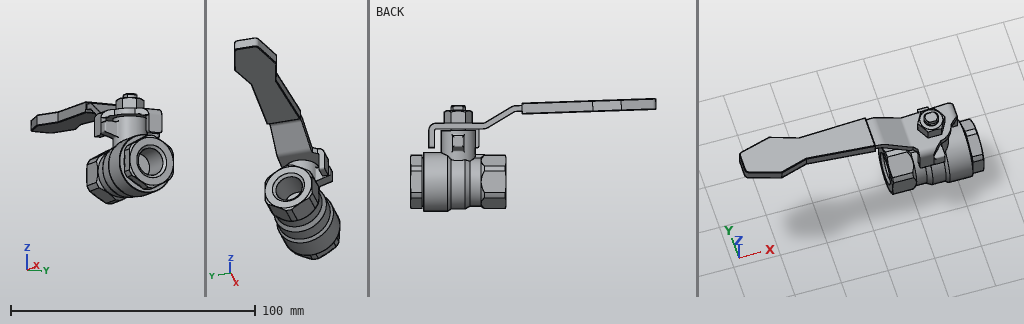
import cadquery as cq
import math


overall_length = 100.8

half_length = 19.7
body_radius = 12.1
band_radius = 11.2
neck_radius = 10.0
hex_across_flats = 20.2
hex_corner_radius = 11.0
end_chamfer = 0.4
end_face_radius = 10.0
left_hex_end = -10.7
neck_start = -9.3
neck_end = -4.8
band_start = -2.7
band_end = 2.9
shoulder_start = 4.3
shoulder_end = 14.3
rim_chamfer = 0.2
groove_width = 0.5
groove_radius = 10.0

bore_radius = 5.6
bore_depth = 13.1
bore_mouth_radius = 6.9
bore_mouth_depth = 1.0

housing_radius = 7.1
housing_top = 21.0
ridge_half_width = 2.0
ridge_base = 9.5
ridge_top = 11.3
stop_reach = 12.5
stop_width = 4.6
stop_top = 19.0
stop_outer_bottom = 14.3
stop_inner_bottom = 12.7
stop_edge_fillet = 0.6
stop_root_fillet = 0.5

strip = 2.4
plate_top = 24.1
plate_bottom = plate_top - strip
plate_radius = 8.1
plate_round_margin = 12.0
tab_outer = 12.1
tab_inner_bend = 0.6
tab_outer_bend = tab_inner_bend + strip
tab_bend_start = tab_outer - tab_outer_bend
tab_bottom = 13.9
tab_side = 8.6
tab_corner_fillet = 1.0
tab_stop_edge = 2.5
slope_angle = 31.0
handle_angle = 2.0
low_bend_x = -11.0
high_bend_x = -22.9
bend_radius = 2.0
strip_end_x = -27.2
strip_end_half_width = 6.5
plate_corner_x = -10.0
plate_corner_y = 7.4

grip_thickness = 4.5
grip_edge_chamfer = 0.3
grip_corner_radius = 1.8
grip_root_x = -26.1
grip_tilt = math.radians(handle_angle)
grip_reach = overall_length - half_length + grip_root_x
grip_lean = (grip_thickness / 2 - grip_edge_chamfer) * math.sin(grip_tilt)
grip_tip_x = grip_root_x - (grip_reach - grip_lean) / math.cos(grip_tilt)
grip_middle_z = 30.1
grip_tip_half_width = 4.8
grip_wide_x = -66.9
grip_wide_half_width = 9.0
grip_waist_x = -55.2
grip_waist_half_width = 5.3
grip_root_half_width = 7.2

stem_radius = 3.0
stem_top = 31.3
stem_chamfer = 0.5
stem_flat_half_width = 2.2
stem_flat_bottom = 29.5
nut_across_flats = 10.1
nut_top = 29.2
nut_face_radius = 4.7
nut_chamfer_angle = 30.0


def hex_across_corners(across_flats):
    return across_flats / math.cos(math.radians(30))


def hex_end(x_start, x_end):
    """Hexagonal prism along X with two corners pointing up and down."""
    corners = [
        (
            hex_across_corners(hex_across_flats) / 2 * math.sin(math.radians(60 * i)),
            hex_across_corners(hex_across_flats) / 2 * math.cos(math.radians(60 * i)),
        )
        for i in range(6)
    ]
    return cq.Workplane("YZ", origin=(x_start, 0, 0)).polyline(corners).close().extrude(x_end - x_start)


def turned(profile):
    """Solid of revolution about the flow axis from (x, radius) points."""
    return cq.Workplane("XY").polyline(profile).close().revolve(360, (0, 0, 0), (1, 0, 0))


def make_body():
    """Turned middle with a hexagonal wrench end on each side."""
    left_envelope = turned([
        (-half_length, 0),
        (-half_length, end_face_radius),
        (-half_length + end_chamfer, hex_corner_radius),
        (left_hex_end, hex_corner_radius),
        (neck_start, neck_radius),
        (neck_start, 0),
    ])
    right_envelope = turned([
        (shoulder_end, 0),
        (shoulder_end, groove_radius),
        (shoulder_end + groove_width, groove_radius),
        (shoulder_end + groove_width, hex_corner_radius),
        (half_length - end_chamfer, hex_corner_radius),
        (half_length, end_face_radius),
        (half_length, 0),
    ])
    middle = turned([
        (neck_start, 0),
        (neck_start, neck_radius),
        (neck_end, neck_radius),
        (band_start, band_radius),
        (band_end, band_radius),
        (shoulder_start, body_radius),
        (shoulder_end - rim_chamfer, body_radius),
        (shoulder_end, body_radius - rim_chamfer),
        (shoulder_end, 0),
    ])
    left_hex = hex_end(-half_length, neck_start).intersect(left_envelope)
    right_hex = hex_end(shoulder_end, half_length).intersect(right_envelope)
    return middle.union(left_hex).union(right_hex)


def make_port():
    """Blind bore with a conical mouth, entering from the -X end."""
    return turned([
        (-half_length, 0),
        (-half_length, bore_mouth_radius),
        (-half_length + bore_mouth_depth, bore_radius),
        (-half_length + bore_depth, bore_radius),
        (-half_length + bore_depth, 0),
    ])


def make_stop():
    """Lever stop on the -Y side of the housing, its underside sloping up outwards."""
    underside_slope = (stop_outer_bottom - stop_inner_bottom) / (stop_reach - housing_radius)
    stop_axis_bottom = stop_inner_bottom - underside_slope * housing_radius
    return (
        cq.Workplane("YZ", origin=(-stop_width / 2, 0, 0))
        .polyline([
            (0, stop_top),
            (-stop_reach, stop_top),
            (-stop_reach, stop_outer_bottom),
            (0, stop_axis_bottom),
        ])
        .close()
        .extrude(stop_width)
        .faces("<Y").edges()
        .fillet(stop_edge_fillet)
    )


def make_housing():
    """Upright stem housing carrying a stop on each side and a ridge towards the left hexagon."""
    stop = make_stop()
    stop_roots = cq.selectors.BoxSelector(
        (-stop_width, -housing_radius, stop_inner_bottom - stop_root_fillet),
        (stop_width, housing_radius, stop_top + stop_root_fillet),
    )
    ridge = (
        cq.Workplane("YZ", origin=(left_hex_end, 0, 0))
        .polyline([(-ridge_half_width, ridge_base), (0, ridge_top), (ridge_half_width, ridge_base)])
        .close()
        .extrude(-left_hex_end)
    )
    return (
        cq.Workplane("XY")
        .circle(housing_radius)
        .extrude(housing_top)
        .union(stop)
        .union(stop.mirror("XZ"))
        .edges(stop_roots)
        .fillet(stop_root_fillet)
        .union(ridge)
    )


def make_strip():
    """Side profile of the lever: flat plate, rising slope, then in line with the grip."""
    slope = math.radians(slope_angle)
    tilt = math.radians(handle_angle)
    low_half = slope / 2
    high_half = (slope - tilt) / 2
    middle_z = plate_bottom + strip / 2
    high_z = middle_z + (low_bend_x - high_bend_x) * math.tan(slope)
    end_z = high_z + (high_bend_x - strip_end_x) * math.tan(tilt)

    def line_points(side):
        """Bend corners of the upper (side = 1) or lower (side = -1) sheet surface."""
        reach = side * strip / 2
        high_direction = slope - high_half
        return [
            (tab_bend_start, middle_z + reach),
            (low_bend_x + reach * math.tan(low_half), middle_z + reach),
            (
                high_bend_x + reach * math.sin(high_direction) / math.cos(high_half),
                high_z + reach * math.cos(high_direction) / math.cos(high_half),
            ),
            (strip_end_x, end_z + reach / math.cos(tilt)),
        ]

    upper = line_points(1)
    lower = line_points(-1)
    profile = (
        cq.Workplane("XZ", origin=(0, tab_bend_start, 0))
        .polyline(upper + lower[::-1])
        .close()
        .extrude(2 * tab_bend_start)
    )
    inside_corners = (upper[1], lower[2])
    outside_corners = (lower[1], upper[2])
    for corners, radius in ((inside_corners, bend_radius), (outside_corners, bend_radius + strip)):
        for x, z in corners:
            profile = profile.edges(cq.selectors.NearestToPointSelector((x, 0, z))).fillet(radius)
    return profile


def make_tab():
    """Tab on the +X side: a quarter bend as wide as the plate, then a narrower straight leg."""
    bend_z = plate_top - tab_outer_bend
    diagonal = math.sqrt(0.5)
    bend = (
        cq.Workplane("XZ", origin=(0, tab_side, 0))
        .moveTo(tab_bend_start, plate_top)
        .threePointArc(
            (tab_bend_start + tab_outer_bend * diagonal, bend_z + tab_outer_bend * diagonal),
            (tab_outer, bend_z),
        )
        .lineTo(tab_outer - strip, bend_z)
        .threePointArc(
            (tab_bend_start + tab_inner_bend * diagonal, bend_z + tab_inner_bend * diagonal),
            (tab_bend_start, plate_bottom),
        )
        .close()
        .extrude(2 * tab_side)
    )
    leg = (
        cq.Workplane("XY", origin=(tab_outer - strip, tab_stop_edge, tab_bottom))
        .rect(strip, tab_side - tab_stop_edge, centered=False)
        .extrude(bend_z - tab_bottom)
        .faces("<Z").edges("|X")
        .fillet(tab_corner_fillet)
    )
    return bend.union(leg)


def make_lever():
    """Bent sheet trimmed to its plan outline; the hub is symmetric about the line x = -y."""
    round_end = math.radians(plate_round_margin)
    near = plate_radius * math.sin(round_end)
    far = plate_radius * math.cos(round_end)
    diagonal = plate_radius * math.sqrt(0.5)
    outline = (
        cq.Workplane("XY")
        .moveTo(strip_end_x, strip_end_half_width)
        .lineTo(tab_bend_start, tab_side)
        .lineTo(tab_outer, tab_side)
        .lineTo(tab_outer, tab_stop_edge)
        .lineTo(far, -near)
        .threePointArc((diagonal, -diagonal), (near, -far))
        .lineTo(-tab_stop_edge, -tab_outer)
        .lineTo(-tab_side, -tab_outer)
        .lineTo(-tab_side, -tab_bend_start)
        .lineTo(plate_corner_x, -plate_corner_y)
        .lineTo(strip_end_x, -strip_end_half_width)
        .close()
        .extrude(stem_top + grip_thickness)
    )
    tab = make_tab()
    side_tab = tab.mirror("XZ").rotate((0, 0, 0), (0, 0, 1), -90)
    return make_strip().union(tab).union(side_tab).intersect(outline)


def make_grip():
    """Thick plate with a waist and a pointed-oval end, tilted in line with the lever strip."""
    half_outline = [
        (grip_tip_x, grip_tip_half_width),
        (grip_wide_x, grip_wide_half_width),
        (grip_waist_x, grip_waist_half_width),
        (grip_root_x, grip_root_half_width),
    ]
    outline = half_outline + [(x, -y) for x, y in half_outline[::-1]]
    return (
        cq.Workplane("XY", origin=(0, 0, grip_middle_z - grip_thickness / 2))
        .polyline(outline)
        .close()
        .extrude(grip_thickness)
        .edges("|Z and <X")
        .fillet(grip_corner_radius)
        .faces("<Z or >Z").edges()
        .chamfer(grip_edge_chamfer)
        .rotate((grip_root_x, 0, grip_middle_z), (grip_root_x, 1, grip_middle_z), handle_angle)
    )


def make_stem():
    """Chamfered stem with two flats above the nut."""
    stem = cq.Workplane("XY").circle(stem_radius).extrude(stem_top).faces(">Z").chamfer(stem_chamfer)
    flat_depth = stem_radius - stem_flat_half_width
    flat_middle = (stem_radius + stem_flat_half_width) / 2
    flats = (
        cq.Workplane("XY", origin=(0, 0, stem_flat_bottom))
        .pushPoints([(0, flat_middle), (0, -flat_middle)])
        .rect(2 * stem_radius, flat_depth)
        .extrude(stem_top - stem_flat_bottom)
    )
    return stem.cut(flats)


def make_nut():
    """Hexagon nut with its upper corners turned off by a cone."""
    corner_radius = hex_across_corners(nut_across_flats) / 2
    cone_drop = (corner_radius - nut_face_radius) * math.tan(math.radians(nut_chamfer_angle))
    envelope = (
        cq.Workplane("XZ")
        .polyline([
            (0, plate_top),
            (corner_radius, plate_top),
            (corner_radius, nut_top - cone_drop),
            (nut_face_radius, nut_top),
            (0, nut_top),
        ])
        .close()
        .revolve(360, (0, 0, 0), (0, 1, 0))
    )
    return (
        cq.Workplane("XY", origin=(0, 0, plate_top))
        .polygon(6, 2 * corner_radius)
        .extrude(nut_top - plate_top)
        .intersect(envelope)
    )


port = make_port()
result = (
    make_body()
    .union(make_housing())
    .union(make_stem())
    .cut(port)
    .cut(port.mirror("YZ"))
    .union(make_lever())
    .union(make_grip())
    .union(make_nut())
)